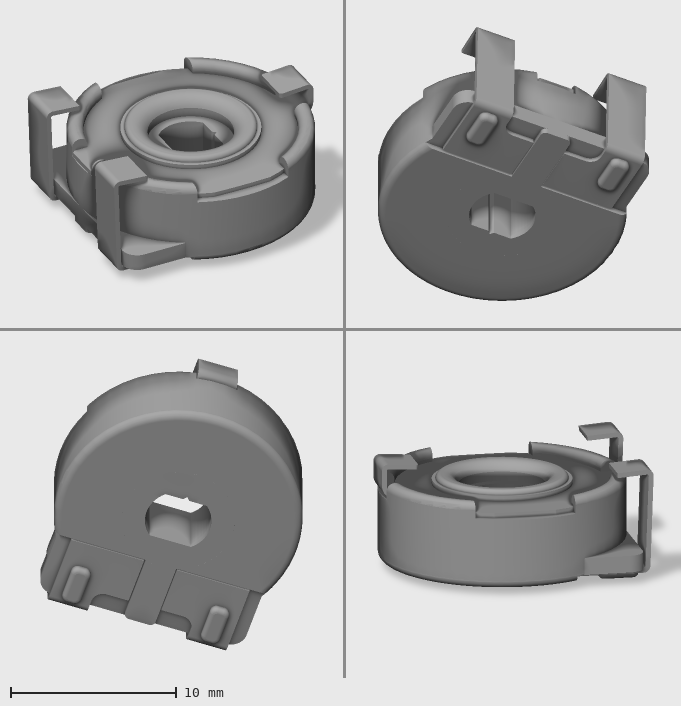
import cadquery as cq
import math

sheet = 0.3
terminal_width = 2.5
terminal_top = 6.48

housing_radius = 15.0 / 2
housing_bottom_radius = 0.47
seat_height = 4.3
rim_height = 5.31
rim_inner_radius = 6.48
rim_edge_radius = 0.49
side_gap_width = 6.15
slot_width = 2.59
block_half_width = 6.53
block_front = -housing_radius
block_height = 1.4
block_corner_radius = 0.98
recess_depth = 0.36
recess_back = -3.22
rib_corner_radius = 0.32
rib_half_width = 0.96

plate_radius = 7.02
plate_top = seat_height + sheet
side_edge_x = 6.8
side_corner_x = 6.75
side_corner_y = 2.02
tongue_front = -7.41
tongue_chamfer = 0.19
centre_back = 7.66
centre_tip = 5.4
centre_tip_corner_radius = 0.19
centre_lower_bend_radius = 0.87

hub_radius = 3.4
flange_radius = 4.25
flange_height = 0.3
collar_radius = 4.0
collar_top = 5.21
collar_edge_radius = 0.28
funnel_top_radius = 3.52
funnel_depth = 0.62
well_radius = 2.6
well_floor = 4.01
drive_hole_radius = 2.0
drive_hole_half_height = 1.52
notch_half_width = 0.19
notch_tip = 1.74

leg_spacing = 8.82
leg_front = -8.14
leg_tip = -5.91
leg_lean = 2.0
arm_droop = 4.0
upper_bend_radius = 0.4
leg_lower_bend_radius = 0.43
foot_bottom = recess_depth - sheet
foot_back = -3.37
pad_front = -6.32
pad_inner_x = 1.05
pad_junction_radius = 0.73
nub_width = 1.2
nub_back = -4.95
nub_front = -7.41
nub_bottom = -0.43
nub_corner_radius = 0.41
nub_edge_radius = 0.28


def box(x_min, x_max, y_min, y_max, z_min, z_max):
    """Box given by its limits along each axis."""
    size = (x_max - x_min, y_max - y_min, z_max - z_min)
    return cq.Workplane("XY").box(*size, centered=False).translate((x_min, y_min, z_min))


def mitre(point, normal_a, normal_b, distance):
    """Corner of two lines moved from a shared point by a distance along their unit normals."""
    dot = normal_a[0] * normal_b[0] + normal_a[1] * normal_b[1]
    reach = distance / (1 + dot)
    return tuple(p + reach * (a + b) for p, a, b in zip(point, normal_a, normal_b))


def terminal_top_path(face_y, tip_y, lean):
    """Outer (y, z) points of the arm tip and the sharp upper corner of a bent terminal."""
    side = math.copysign(1, face_y)
    lean = math.radians(lean)
    droop = math.radians(arm_droop)
    bend_centre = (face_y - side * upper_bend_radius, terminal_top - upper_bend_radius)
    upright_normal = (side * math.cos(lean), -math.sin(lean))
    arm_normal = (-side * math.sin(droop), math.cos(droop))
    corner = mitre(bend_centre, upright_normal, arm_normal, upper_bend_radius)
    tip = (tip_y, corner[1] - abs(corner[0] - tip_y) * math.tan(droop))
    return [tip, corner]


def bent_strip(outer, lower_bend_radius, side):
    """Sheet strip centred on X = 0 with four outer (y, z) points; side is the sign of its Y face."""
    normals = []
    for (y0, z0), (y1, z1) in zip(outer, outer[1:]):
        length = math.hypot(y1 - y0, z1 - z0)
        normals.append((side * (z1 - z0) / length, side * (y0 - y1) / length))
    inner = []
    for i, point in enumerate(outer):
        before = normals[max(i - 1, 0)]
        after = normals[min(i, len(normals) - 1)]
        inner.append(mitre(point, before, after, sheet))
    strip = (
        cq.Workplane("YZ").polyline(outer + inner[::-1]).close()
        .extrude(terminal_width / 2, both=True)
    )
    for i, radius in ((1, upper_bend_radius), (2, lower_bend_radius)):
        strip = strip.edges(cq.NearestToPointSelector((0, *outer[i]))).fillet(radius)
        strip = strip.edges(cq.NearestToPointSelector((0, *inner[i]))).fillet(radius - sheet)
    return strip


def make_housing():
    cup = cq.Workplane("XY").circle(housing_radius).extrude(rim_height)
    cup = cup.faces("<Z").edges().fillet(housing_bottom_radius)
    rim_opening = cq.Workplane("XY").circle(rim_inner_radius).extrude(rim_height - seat_height)
    cup = cup.cut(rim_opening.translate((0, 0, seat_height)))
    cup = cup.faces(">Z").edges().fillet(rim_edge_radius)
    plate_seat = cq.Workplane("XY").circle(plate_radius).extrude(sheet)
    cup = cup.cut(plate_seat.translate((0, 0, seat_height)))

    block = box(-block_half_width, block_half_width, block_front, recess_back, 0, block_height)
    block = block.edges("|Z and <Y").fillet(block_corner_radius)
    bore = cq.Workplane("XY").circle(hub_radius).extrude(rim_height)
    housing = cup.union(block).cut(bore)

    reach = housing_radius + 0.16
    for half_x, half_y in ((reach, side_gap_width / 2), (slot_width / 2, reach)):
        housing = housing.cut(box(-half_x, half_x, -half_y, half_y, seat_height, rim_height))
    rib = box(-rib_half_width, rib_half_width, block_front, recess_back, 0, recess_depth)
    rib = rib.edges("|Z and <Y").fillet(rib_corner_radius)
    foot_recesses = box(-reach, reach, -reach, recess_back, 0, recess_depth).cut(rib)
    return housing.cut(foot_recesses)


def make_collector():
    bend_start = centre_back - centre_lower_bend_radius
    reach = plate_radius + 0.16
    outline = (
        cq.Workplane("XY")
        .moveTo(side_corner_x, -side_corner_y)
        .threePointArc((side_edge_x, 0), (side_corner_x, side_corner_y))
        .lineTo(side_corner_x, bend_start)
        .lineTo(-side_corner_x, bend_start)
        .lineTo(-side_corner_x, side_corner_y)
        .threePointArc((-side_edge_x, 0), (-side_corner_x, -side_corner_y))
        .lineTo(-side_corner_x, -reach)
        .lineTo(side_corner_x, -reach)
        .close()
        .extrude(sheet)
    )
    disc = cq.Workplane("XY").circle(plate_radius).extrude(sheet).intersect(outline)
    tongue = box(-slot_width / 2, slot_width / 2, tongue_front, 0, 0, sheet)
    tongue = tongue.edges("|Z and <Y").chamfer(tongue_chamfer)
    plate = disc.union(tongue).translate((0, 0, seat_height))

    path = terminal_top_path(centre_back, centre_tip, 0)
    path += [(centre_back, seat_height), (bend_start - 0.16, seat_height)]
    terminal = bent_strip(path, centre_lower_bend_radius, 1)
    for side in (-1, 1):
        tip_corner = (side * terminal_width / 2, centre_tip, path[0][1] - sheet / 2)
        terminal = terminal.edges(cq.NearestToPointSelector(tip_corner))
        terminal = terminal.fillet(centre_tip_corner_radius)
    hub_hole = cq.Workplane("XY").circle(hub_radius).extrude(plate_top)
    return plate.union(terminal).cut(hub_hole)


def make_rotor():
    flange_top = plate_top + flange_height
    edge_step = collar_edge_radius * (1 - math.sqrt(0.5))
    funnel_width = funnel_top_radius - well_radius
    funnel_radius = (funnel_width**2 + funnel_depth**2) / (2 * funnel_depth)
    half_angle = math.asin(funnel_width / funnel_radius) / 2
    funnel_middle = (
        funnel_top_radius - funnel_radius * math.sin(half_angle),
        collar_top - funnel_radius * (1 - math.cos(half_angle)),
    )
    rotor = (
        cq.Workplane("XZ")
        .moveTo(0, 0)
        .lineTo(hub_radius, 0)
        .lineTo(hub_radius, plate_top)
        .lineTo(flange_radius, plate_top)
        .lineTo(flange_radius, flange_top)
        .lineTo(collar_radius, flange_top)
        .lineTo(collar_radius, collar_top - collar_edge_radius)
        .threePointArc(
            (collar_radius - edge_step, collar_top - edge_step),
            (collar_radius - collar_edge_radius, collar_top),
        )
        .lineTo(funnel_top_radius, collar_top)
        .threePointArc(funnel_middle, (well_radius, collar_top - funnel_depth))
        .lineTo(well_radius, well_floor)
        .lineTo(0, well_floor)
        .close()
        .revolve(360, (0, 0, 0), (0, 1, 0))
    )
    drive_hole = cq.Workplane("XY").circle(drive_hole_radius).extrude(well_floor)
    drive_hole = drive_hole.intersect(
        box(
            -drive_hole_radius, drive_hole_radius,
            -drive_hole_half_height, drive_hole_half_height,
            0, well_floor,
        )
    )
    notch = (
        cq.Workplane("XY")
        .polyline([(-notch_half_width, 0), (-notch_half_width, drive_hole_half_height),
                   (0, notch_tip), (notch_half_width, drive_hole_half_height),
                   (notch_half_width, 0)])
        .close()
        .extrude(well_floor)
    )
    return rotor.cut(drive_hole).cut(notch)


def make_leg(side):
    """Side terminal at -X or +X; modelled at -X and mirrored for the other side."""
    path = terminal_top_path(leg_front, leg_tip, leg_lean)
    corner_y, corner_z = path[1]
    lower_corner_y = corner_y + (corner_z - foot_bottom) * math.tan(math.radians(leg_lean))
    path += [(lower_corner_y, foot_bottom), (foot_back, foot_bottom)]
    strip = bent_strip(path, leg_lower_bend_radius, -1).translate((-leg_spacing / 2, 0, 0))

    strip_inner_x = -leg_spacing / 2 + terminal_width / 2
    pad = box(strip_inner_x, -pad_inner_x, pad_front, foot_back, foot_bottom, recess_depth)
    leg = strip.union(pad)
    junction = (strip_inner_x, pad_front, recess_depth - sheet / 2)
    leg = leg.edges("|Z").edges(cq.NearestToPointSelector(junction)).fillet(pad_junction_radius)

    nub_x = -leg_spacing / 2
    nub = box(
        nub_x - nub_width / 2, nub_x + nub_width / 2,
        nub_front, nub_back, nub_bottom, foot_bottom,
    )
    nub = nub.edges("|Z").fillet(nub_corner_radius)
    nub = nub.faces("<Z").edges().fillet(nub_edge_radius)
    leg = leg.union(nub)
    return leg.mirror("YZ") if side > 0 else leg


housing = make_housing()
collector = make_collector()
rotor = make_rotor()
legs = [make_leg(side) for side in (-1, 1)]

result = cq.Compound.makeCompound(
    [housing.val(), collector.val(), rotor.val(), *[leg.val() for leg in legs]]
)